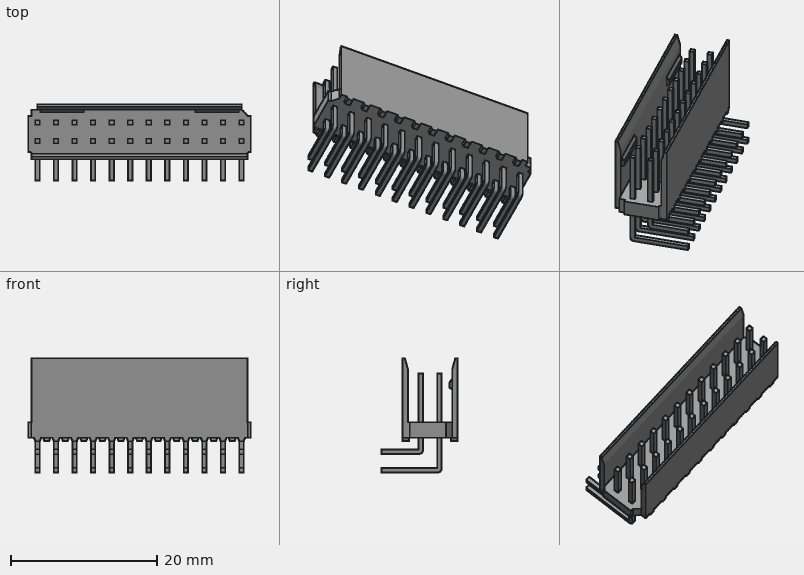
import cadquery as cq
import math


floor_length = 30.48

contacts_per_row = 12
pitch = floor_length / contacts_per_row
pin_size = 0.65
pin_top = 8.8
tail_reach = 10.45
near_tail_bottom = -2.23
far_tail_bottom = near_tail_bottom - pitch
bend_radius = 0.55

floor_height = 2.13
shoulder_length = 29.63
rear_shoulder = 0.85
front_relief_radius = 0.25
key_chamfer = 0.8

housing_depth = 7.55
wall_thickness = 0.75
wall_top = 10.9
lip_thickness = 0.35
lip_height = 1.52
front_wall_length = shoulder_length
rear_wall_length = shoulder_length - 2 * key_chamfer

ridge_length = 5.95
ridge_inset = 0.45
ridge_rise = 0.37
ridge_bottom = 6.65
ridge_top = 8.08
ridge_lower_slope = 0.2
ridge_upper_slope = 0.52

foot_height = 0.45
foot_depth = 0.9
foot_root_width = 1.0
foot_tip_width = 0.67

rear_face = housing_depth / 2
front_face = -rear_face
rear_wall_inside = rear_face - wall_thickness
front_wall_inside = front_face + wall_thickness
contact_positions = [(i - (contacts_per_row - 1) / 2) * pitch for i in range(contacts_per_row)]
gap_positions = [x + pitch / 2 for x in contact_positions[:-1]]


def extrude_along_x(points, center_x, length):
    """Extrude a closed (Y, Z) outline along X, centred on center_x."""
    start = cq.Workplane("YZ").workplane(offset=center_x - length / 2)
    return start.polyline(points).close().extrude(length)


def make_floor():
    """Floor plate with shoulders beside the walls and one cut key corner."""
    end = floor_length / 2
    shoulder = shoulder_length / 2
    rear_step = rear_wall_inside - rear_shoulder
    front_step = front_wall_inside + front_relief_radius
    arc_x = shoulder + front_relief_radius * (1 - math.sqrt(0.5))
    arc_y = front_wall_inside + front_relief_radius * math.sqrt(0.5)
    upper_outline = [
        (-end, front_step),
        (-end, rear_step),
        (-shoulder, rear_step),
        (-shoulder, rear_wall_inside),
        (shoulder - key_chamfer, rear_wall_inside),
        (shoulder, rear_wall_inside - key_chamfer),
        (shoulder, rear_step),
        (end, rear_step),
        (end, front_step),
        (shoulder + front_relief_radius, front_step),
    ]
    outline = (
        cq.Workplane("XY")
        .moveTo(-shoulder, front_wall_inside)
        .threePointArc((-arc_x, arc_y), (-shoulder - front_relief_radius, front_step))
        .polyline(upper_outline, includeCurrent=True)
        .threePointArc((arc_x, arc_y), (shoulder, front_wall_inside))
        .close()
    )
    return outline.extrude(floor_height)


def make_wall(side, length):
    """Long wall thinning to a lip at its top; side is +1 at the rear, -1 at the front."""
    outline = [
        (side * rear_face, 0),
        (side * rear_face, wall_top),
        (side * (rear_face - lip_thickness), wall_top),
        (side * rear_wall_inside, wall_top - lip_height),
        (side * rear_wall_inside, 0),
    ]
    return extrude_along_x(outline, 0, length)


def make_ridge(center_x):
    """Latching ridge with sloped upper and lower flanks."""
    crest = rear_wall_inside - ridge_rise
    outline = [
        (rear_wall_inside, ridge_bottom),
        (crest, ridge_bottom + ridge_lower_slope),
        (crest, ridge_top - ridge_upper_slope),
        (rear_wall_inside, ridge_top),
    ]
    return extrude_along_x(outline, center_x, ridge_length)


def make_foot(center_x, rear_y):
    """Tapered standoff foot reaching forward from rear_y."""
    outline = [
        (center_x - foot_root_width / 2, 0),
        (center_x + foot_root_width / 2, 0),
        (center_x + foot_tip_width / 2, -foot_height),
        (center_x - foot_tip_width / 2, -foot_height),
    ]
    return cq.Workplane("XZ", origin=(0, rear_y, 0)).polyline(outline).close().extrude(foot_depth)


def make_contact(center_x, center_y, tail_bottom):
    """Square pin bent forward below the floor, rounded on the outside of the bend."""
    back = center_y + pin_size / 2
    front = center_y - pin_size / 2
    tail_tip = rear_face - tail_reach
    tail_top = tail_bottom + pin_size
    outline = [
        (back, pin_top),
        (front, pin_top),
        (front, tail_top),
        (tail_tip, tail_top),
        (tail_tip, tail_bottom),
        (back, tail_bottom),
    ]
    outer_bend = cq.selectors.NearestToPointSelector((center_x, back, tail_bottom))
    return extrude_along_x(outline, center_x, pin_size).edges(outer_bend).fillet(bend_radius)


result = make_floor()
result = result.union(make_wall(1, rear_wall_length))
result = result.union(make_wall(-1, front_wall_length))

ridge_center = (rear_wall_length - ridge_length) / 2 - ridge_inset
for x in (-ridge_center, ridge_center):
    result = result.union(make_ridge(x))

for x in contact_positions:
    result = result.union(make_foot(x, front_face + foot_depth))
for x in gap_positions:
    result = result.union(make_foot(x, rear_face))

for x in contact_positions:
    result = result.union(make_contact(x, -pitch / 2, near_tail_bottom))
    result = result.union(make_contact(x, pitch / 2, far_tail_bottom))